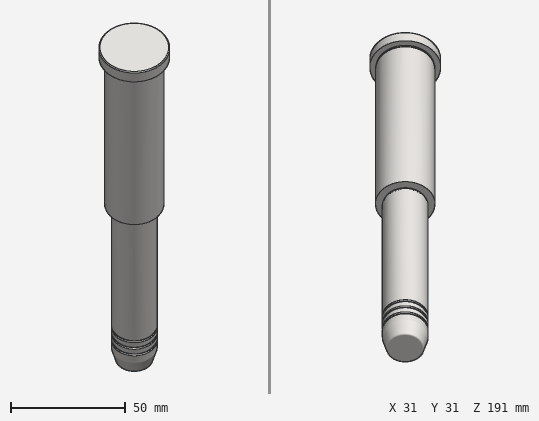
import cadquery as cq

total_length = 191.0
head_diameter = 31.0
head_thickness = 6.0
head_chamfer = 0.5

shank_diameter = 26.0
shank_end_z = 95.1
shank_relief_width = 1.0
shank_relief_depth = 0.2

pin_diameter = 20.0
pin_relief_width = 1.1
pin_relief_depth = 0.5

groove_count = 3
groove_radius = 0.5
groove_pitch = 4.0
lowest_groove_z = 12.2

taper_length = 7.3
tip_diameter = 16.2
tip_fillet = 0.8


def cylinder(diameter, bottom_z, top_z):
    """Solid cylinder on the Z axis between two heights."""
    return cq.Workplane("XY").workplane(offset=bottom_z).circle(diameter / 2).extrude(top_z - bottom_z)


def ring_cut(diameter, depth, bottom_z, width):
    """Ring that cuts a square groove into a cylinder of the given diameter."""
    outer = cylinder(diameter, bottom_z, bottom_z + width)
    return outer.cut(cylinder(diameter - 2 * depth, bottom_z, bottom_z + width))


def groove_ring(center_z):
    """Round-section ring, centred on the pin surface, that cuts one groove."""
    pin_radius = pin_diameter / 2
    section = cq.Workplane("XZ").center(pin_radius, center_z).circle(groove_radius)
    return section.revolve(360, (-pin_radius, 0), (-pin_radius, 1))


def make_head():
    head = cylinder(head_diameter, total_length - head_thickness, total_length)
    return head.faces(">Z").edges().chamfer(head_chamfer)


def make_shank():
    shank_top_z = total_length - head_thickness
    relief_z = shank_top_z - shank_relief_width
    relief = ring_cut(shank_diameter, shank_relief_depth, relief_z, shank_relief_width)
    return cylinder(shank_diameter, shank_end_z, shank_top_z).cut(relief)


def make_pin():
    pin = cylinder(pin_diameter, taper_length, shank_end_z)
    neck_z = shank_end_z - pin_relief_width
    pin = pin.cut(ring_cut(pin_diameter, pin_relief_depth, neck_z, pin_relief_width))
    for index in range(groove_count):
        groove_z = lowest_groove_z + index * groove_pitch
        pin = pin.cut(groove_ring(groove_z))
    return pin


def make_tip():
    tip = (
        cq.Workplane("XY")
        .circle(tip_diameter / 2)
        .workplane(offset=taper_length)
        .circle(pin_diameter / 2)
        .loft(ruled=True)
    )
    return tip.faces("<Z").edges().fillet(tip_fillet)


result = make_head().union(make_shank()).union(make_pin()).union(make_tip())